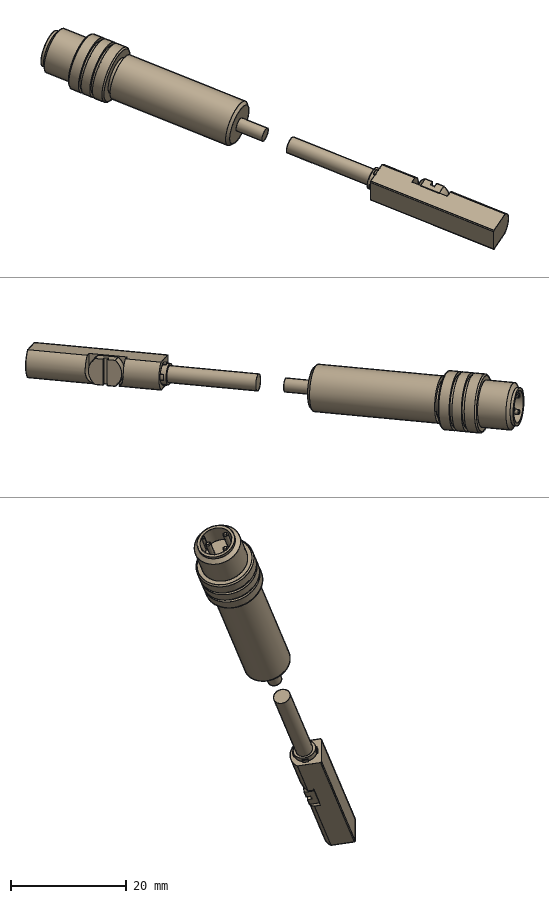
import cadquery as cq
import math

nose_radius = 3.35
nose_length = 0.5
barrel_radius = 4.15
barrel_start = 1.1
collar_diameter = 10.3
collar_radius = collar_diameter / 2
collar_start = 6.2
collar_end = 13.1
collar_chamfer = 0.3
groove_width = 0.5
groove_depth = 0.5
groove_starts = (8.3, 10.5)
neck_radius = 3.35
grip_start = 13.9
grip_end = 37.0
grip_chamfer = 0.5
lead_radius = 1.2
lead_end = 42.1

socket_radius = 2.8
socket_depth = 3.5
pin_radius = 0.4
pin_tip = 0.3
pin_chamfer = 0.2
pin_places = ((1.5, 0.0), (-1.6, 1.5), (-1.6, -1.5))
key_radius = 0.35
key_angle = 30

cable_start = 47.0
cable_radius = 1.5
ferrule_start = 63.1
ferrule_half_width = 2.2
ferrule_half_height = 2.0
lug_height = 0.2
lug_start = 63.5
lug_width = 1.1
housing_start = 64.1
housing_end = 88.2
housing_half_height = 2.6
housing_back = -2.8
shoulder = 1.5
crown = 2.8
back_chamfer = 0.2

pocket_center = 74.0
pocket_floor = 0.4
pocket_radius = 3.4
screw_radius = 3.0
screw_half_height = 2.4
screw_top = 2.3
screw_slot_width = 0.8
screw_slot_floor = 1.5


def x_cylinder(radius, start, end, y=0.0, z=0.0):
    """Solid cylinder parallel to X."""
    return cq.Workplane("YZ", origin=(start, y, z)).circle(radius).extrude(end - start)


def plug_outside():
    """Turned outside of the connector, without the collar grooves."""
    outline = [
        (0, 0),
        (0, nose_radius),
        (nose_length, nose_radius),
        (barrel_start, barrel_radius),
        (collar_start, barrel_radius),
        (collar_start, collar_radius - collar_chamfer),
        (collar_start + collar_chamfer, collar_radius),
        (collar_end - collar_chamfer, collar_radius),
        (collar_end, collar_radius - collar_chamfer),
        (collar_end, neck_radius),
        (grip_start, neck_radius),
        (grip_start, barrel_radius),
        (grip_end - grip_chamfer, barrel_radius),
        (grip_end, barrel_radius - grip_chamfer),
        (grip_end, lead_radius),
        (lead_end, lead_radius),
        (lead_end, 0),
    ]
    return cq.Workplane("XY").polyline(outline).close().revolve(360, (0, 0, 0), (1, 0, 0))


def socket_key():
    """Half-round key on the socket wall, its front end level with the pin tips."""
    angle = math.radians(key_angle)
    key_y = socket_radius * math.cos(angle)
    key_z = socket_radius * math.sin(angle)
    return x_cylinder(key_radius, pin_tip, socket_depth, key_y, key_z)


def make_connector():
    body = plug_outside()
    for start in groove_starts:
        end = start + groove_width
        groove_bottom = x_cylinder(collar_radius - groove_depth, start, end)
        groove = x_cylinder(collar_radius, start, end).cut(groove_bottom)
        body = body.cut(groove)
    body = body.cut(x_cylinder(socket_radius, 0, socket_depth))
    for y, z in pin_places:
        pin = x_cylinder(pin_radius, pin_tip, socket_depth, y, z)
        body = body.union(pin.faces("<X").chamfer(pin_chamfer))
    return body.union(socket_key())


def housing_block():
    """Housing with flat sides, a chamfered back and an arched crown toward +Y."""
    half = housing_half_height
    return (
        cq.Workplane("YZ", origin=(housing_start, 0, 0))
        .moveTo(shoulder, -half)
        .threePointArc((crown, 0), (shoulder, half))
        .lineTo(housing_back + back_chamfer, half)
        .lineTo(housing_back, half - back_chamfer)
        .lineTo(housing_back, back_chamfer - half)
        .lineTo(housing_back + back_chamfer, -half)
        .close()
        .extrude(housing_end - housing_start)
    )


def cross_slot(center, width, floor, top):
    """Box that runs right across the housing along Z, from floor to top in Y."""
    slot = cq.Workplane("XY").box(width, top - floor, 2 * housing_half_height)
    return slot.translate((center, (floor + top) / 2, 0))


def clamping_screw():
    """Slotted screw head standing on the pocket floor, with flats above and below."""
    head_height = screw_top - pocket_floor
    head = (
        cq.Workplane("XZ", origin=(pocket_center, pocket_floor, 0))
        .circle(screw_radius)
        .extrude(-head_height)
    )
    flats = (
        cq.Workplane("XY")
        .box(2 * screw_radius, head_height, 2 * screw_half_height)
        .translate((pocket_center, pocket_floor + head_height / 2, 0))
    )
    slot = cross_slot(pocket_center, screw_slot_width, screw_slot_floor, screw_top)
    return head.intersect(flats).cut(slot)


def screw_pocket():
    """U-shaped pocket: round about the screw and open through the +Z side."""
    round_part = (
        cq.Workplane("XZ", origin=(pocket_center, pocket_floor, 0))
        .circle(pocket_radius)
        .extrude(pocket_floor - crown)
    )
    opening = cross_slot(pocket_center, 2 * pocket_radius, pocket_floor, crown)
    return round_part.union(opening.translate((0, 0, housing_half_height)))


def oval_collar(start, end, inset):
    """Oval disc around the cable, smaller than the reach of the lugs by the inset."""
    return (
        cq.Workplane("YZ", origin=(start, 0, 0))
        .ellipse(ferrule_half_width - inset, ferrule_half_height - inset)
        .extrude(end - start)
    )


def make_ferrule():
    """Strain relief: an oval core with four lugs against the housing."""
    lug_length = housing_start - lug_start
    lug_middle = (lug_start + housing_start) / 2
    span = 2 * ferrule_half_width
    upright = cq.Workplane("XY").box(lug_length, lug_width, span)
    crosswise = cq.Workplane("XY").box(lug_length, span, lug_width)
    lugs = upright.union(crosswise).translate((lug_middle, 0, 0))
    lugs = lugs.intersect(oval_collar(lug_start, housing_start, 0))
    core = oval_collar(ferrule_start, housing_start, lug_height)
    return core.union(lugs)


def make_sensor():
    housing = housing_block().cut(screw_pocket()).union(clamping_screw())
    cable = x_cylinder(cable_radius, cable_start, housing_start)
    return housing.union(make_ferrule()).union(cable)


connector = make_connector()
sensor = make_sensor()
result = cq.Compound.makeCompound([*connector.solids().vals(), *sensor.solids().vals()])